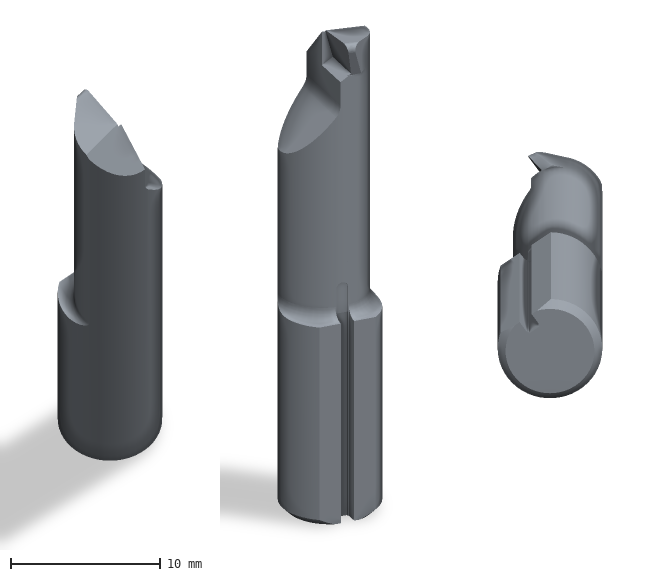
import cadquery as cq
import math

total_height = 35.0
margin = 3.5

shank_radius = 3.5
flat_x = -2.85
bottom_chamfer = 0.52

neck_radius = 3.15
neck_axis_x = 1.15
shoulder_z = 14.7
shoulder_fillet = 0.85

mouth_width = 0.98
mouth_floor_x = -1.95
slot_width = 0.85
slot_floor_x = -1.82
slot_step_z = 15.0
runout_floor_x = -1.9
runout_top_z = 17.3

relief_face_y = 0.15
relief_corner_z = 29.85
relief_angle = math.radians(40)
relief_blend_radius = 1.22

tooth_bottom_z = 32.38
nose_left_x = -2.7
nose_radius = 0.42
flank_angle = math.radians(20)
top_angle = math.radians(6.6)
flank_clearance = 0.1
top_clearance = 0.13
facet_outer = (-3.15, -0.15)
facet_end = (-1.12, -2.17)

back_chamfer_x = 0.9
back_chamfer_z = 34.6

groove_end_x = 1.0
groove_top_y = 0.0
groove_root = (-0.65, 32.5)
groove_exit_z = 32.05


def box_between(low, high):
    size = [b - a for a, b in zip(low, high)]
    return cq.Workplane("XY").box(*size, centered=False).translate(low)


def make_shank_cylinder():
    cylinder = cq.Workplane("XY").circle(shank_radius).extrude(total_height + margin)
    return cylinder.faces("<Z").chamfer(bottom_chamfer)


def make_shank_and_neck():
    """Revolve the neck with its shoulder fillet, then trim it to the shank cylinder."""
    outer_radius = shank_radius + neck_axis_x + margin
    fillet_radius = neck_radius + shoulder_fillet
    arc_offset = shoulder_fillet * (1 - math.sqrt(0.5))
    profile = (
        cq.Workplane("XZ")
        .lineTo(outer_radius, 0)
        .lineTo(outer_radius, shoulder_z)
        .lineTo(fillet_radius, shoulder_z)
        .threePointArc(
            (neck_radius + arc_offset, shoulder_z + arc_offset),
            (neck_radius, shoulder_z + shoulder_fillet),
        )
        .lineTo(neck_radius, total_height + margin)
        .lineTo(0, total_height + margin)
        .close()
    )
    turned = profile.revolve(360, (0, 0), (0, 1)).translate((neck_axis_x, 0, 0))
    flat = box_between((-2 * shank_radius, -margin, -margin), (flat_x, margin, total_height))
    return turned.intersect(make_shank_cylinder()).cut(flat)


def make_slot_section(width, floor_x, top_z):
    half_width = width / 2
    return box_between((flat_x - margin, -half_width, -margin), (floor_x, half_width, top_z))


def make_slot():
    mouth = make_slot_section(mouth_width, mouth_floor_x, shoulder_z + shoulder_fillet)
    bottom = make_slot_section(slot_width, slot_floor_x, slot_step_z)
    runout_length = runout_top_z - slot_step_z + slot_width / 2
    runout = (
        cq.Workplane("YZ", origin=(flat_x, 0, runout_top_z - runout_length / 2))
        .slot2D(runout_length, slot_width, 90)
        .extrude(runout_floor_x - flat_x)
    )
    return mouth.union(bottom).union(runout)


def make_tip_relief():
    """Flat face and sloping face joined by a tangent arc, cut right across X."""
    turn = relief_blend_radius * math.tan(relief_angle / 2)
    sine = math.sin(relief_angle)
    cosine = math.cos(relief_angle)
    reach = 2 * shank_radius
    top_z = total_height + margin
    arc_start = (relief_face_y, relief_corner_z + turn)
    arc_end = (relief_face_y + turn * sine, relief_corner_z - turn * cosine)
    half = relief_angle / 2
    arc_middle = (
        relief_face_y + relief_blend_radius * (1 - math.cos(half)),
        arc_start[1] - relief_blend_radius * math.sin(half),
    )
    return (
        cq.Workplane("YZ", origin=(-reach, 0, 0))
        .moveTo(relief_face_y, top_z)
        .lineTo(*arc_start)
        .threePointArc(arc_middle, arc_end)
        .lineTo(relief_face_y + reach * sine, relief_corner_z - reach * cosine)
        .lineTo(relief_face_y + reach * sine, top_z)
        .close()
        .extrude(2 * reach)
    )


def make_tooth_blank():
    """Upright prism against the neck, bounded by the secondary relief facet."""
    return (
        cq.Workplane("XY", origin=(0, 0, tooth_bottom_z))
        .moveTo(0, relief_face_y)
        .lineTo(facet_outer[0], relief_face_y)
        .lineTo(*facet_outer)
        .lineTo(*facet_end)
        .lineTo(0, facet_end[1])
        .close()
        .extrude(total_height + margin - tooth_bottom_z)
    )


def make_tip_envelope():
    """Flank, rounded nose and top face, swept backwards along the clearance direction."""
    centre_x = nose_left_x + nose_radius
    centre_z = total_height - nose_radius

    def on_nose(angle):
        return (centre_x + nose_radius * math.cos(angle), centre_z + nose_radius * math.sin(angle))

    flank_normal = math.pi + flank_angle
    top_normal = math.pi / 2 - top_angle
    flank_point = on_nose(flank_normal)
    top_point = on_nose(top_normal)
    right_x = shank_radius + margin
    bottom_z = tooth_bottom_z - margin
    flank_bottom_x = flank_point[0] + (flank_point[1] - bottom_z) * math.tan(flank_angle)
    right_z = top_point[1] - (right_x - top_point[0]) * math.tan(top_angle)
    wire = (
        cq.Workplane("XZ")
        .moveTo(flank_bottom_x, bottom_z)
        .lineTo(*flank_point)
        .threePointArc(on_nose((flank_normal + top_normal) / 2), top_point)
        .lineTo(right_x, right_z)
        .lineTo(right_x, bottom_z)
        .close()
        .val()
    )
    clearance = cq.Vector(flank_clearance, -1, -top_clearance)
    start = wire.translate(clearance * -0.35)
    return cq.Workplane(cq.Solid.extrudeLinear(start, [], clearance * (shank_radius + margin)))


def make_back_chamfer():
    reach = 2 * shank_radius
    return (
        cq.Workplane("XZ", origin=(0, reach, 0))
        .moveTo(back_chamfer_x - reach, back_chamfer_z + reach)
        .lineTo(back_chamfer_x + reach, back_chamfer_z - reach)
        .lineTo(back_chamfer_x + reach, back_chamfer_z + reach)
        .close()
        .extrude(2 * reach)
    )


def make_chip_groove():
    """Sloping rake face and groove bottom, open towards -X and closed at its +X end."""
    start_x = nose_left_x - margin
    root_y, root_z = groove_root
    slope_y = (groove_top_y - root_y) / (total_height - root_z)
    top_z = total_height + margin
    return (
        cq.Workplane("YZ", origin=(start_x, 0, 0))
        .moveTo(root_y, root_z)
        .lineTo(groove_top_y + margin * slope_y, top_z)
        .lineTo(margin, top_z)
        .lineTo(margin, groove_exit_z)
        .lineTo(relief_face_y, groove_exit_z)
        .close()
        .extrude(groove_end_x - start_x)
    )


body = make_shank_and_neck().cut(make_slot()).cut(make_tip_relief())
upper_zone = box_between(
    (-2 * shank_radius, -2 * shank_radius, tooth_bottom_z),
    (2 * shank_radius, 2 * shank_radius, total_height + 2 * margin),
)
tip = body.intersect(upper_zone).union(make_tooth_blank()).intersect(make_tip_envelope())
result = body.cut(upper_zone).union(tip).cut(make_back_chamfer()).cut(make_chip_groove())